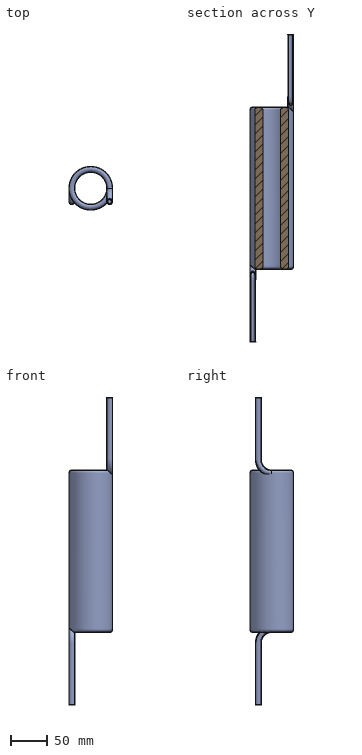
import cadquery as cq

overall_height = 424.0
outer_diameter = 60.0
wire_diameter = 8.0
bore_diameter = 5.5
body_height = 224.0
leg_length = 85.5

fuse_tolerance = 0.01

wire_radius = wire_diameter / 2
coil_radius = outer_diameter / 2 - wire_radius
end_coil_height = body_height / 2 - wire_radius
bend_end_height = overall_height / 2 - leg_length
bend_radius = bend_end_height - end_coil_height


def make_upper_body():
    """Revolve the upper half of the wall section, which ends in a half circle."""
    inner_radius = coil_radius - wire_radius
    outer_radius = coil_radius + wire_radius
    return (
        cq.Workplane("YZ")
        .moveTo(inner_radius, 0)
        .lineTo(inner_radius, end_coil_height)
        .threePointArc((coil_radius, body_height / 2), (outer_radius, end_coil_height))
        .lineTo(outer_radius, 0)
        .close()
        .revolve(360, (0, 0, 0), (0, 1, 0))
    )


def sweep_top_leg(diameter):
    """Sweep a circle from the end coil at +X, through a quarter bend, straight up."""
    path = (
        cq.Workplane("YZ", origin=(coil_radius, 0, 0))
        .moveTo(0, end_coil_height)
        .radiusArc((-bend_radius, bend_end_height), bend_radius)
        .lineTo(-bend_radius, overall_height / 2)
    )
    return (
        cq.Workplane("XZ", origin=(coil_radius, 0, end_coil_height))
        .circle(diameter / 2)
        .sweep(path)
    )


upper_half = (
    make_upper_body()
    .union(sweep_top_leg(wire_diameter), tol=fuse_tolerance)
    .cut(sweep_top_leg(bore_diameter))
)

lower_half = upper_half.rotate((0, 0, 0), (0, 1, 0), 180)

result = upper_half.union(lower_half)